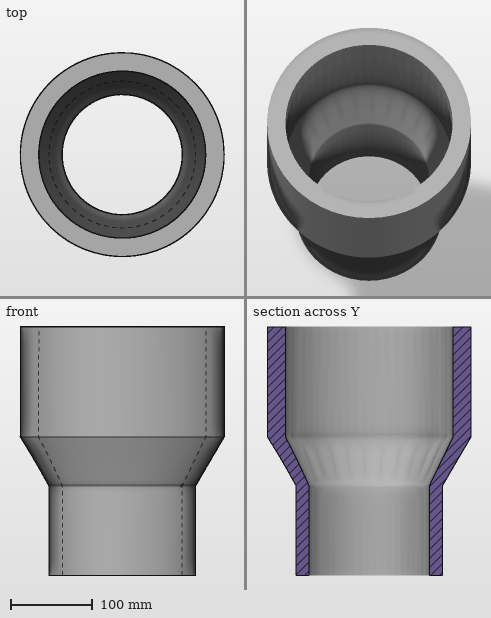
import cadquery as cq

total_height = 305.0
wide_diameter = 250.0
wide_wall = 22.5
wide_length = 135.0
narrow_diameter = 180.0
narrow_wall = 16.5
narrow_length = 110.0

outer_bend_radius = 2.5
bore_bend_radius = 6.7

wide_radius = wide_diameter / 2
narrow_radius = narrow_diameter / 2
cone_top = total_height - wide_length


def stepped_cone(lower_radius, upper_radius, bend_radius):
    """Solid of two cylinders joined by a cone, with rounded bends."""
    solid = (
        cq.Workplane("XZ")
        .lineTo(lower_radius, 0)
        .lineTo(lower_radius, narrow_length)
        .lineTo(upper_radius, cone_top)
        .lineTo(upper_radius, total_height)
        .lineTo(0, total_height)
        .close()
        .revolve(360, (0, 0, 0), (0, 1, 0))
    )
    bends = solid.edges("%CIRCLE").edges("not(<Z or >Z)")
    return bends.fillet(bend_radius)


outer_body = stepped_cone(narrow_radius, wide_radius, outer_bend_radius)
bore = stepped_cone(narrow_radius - narrow_wall, wide_radius - wide_wall, bore_bend_radius)

result = outer_body.cut(bore)